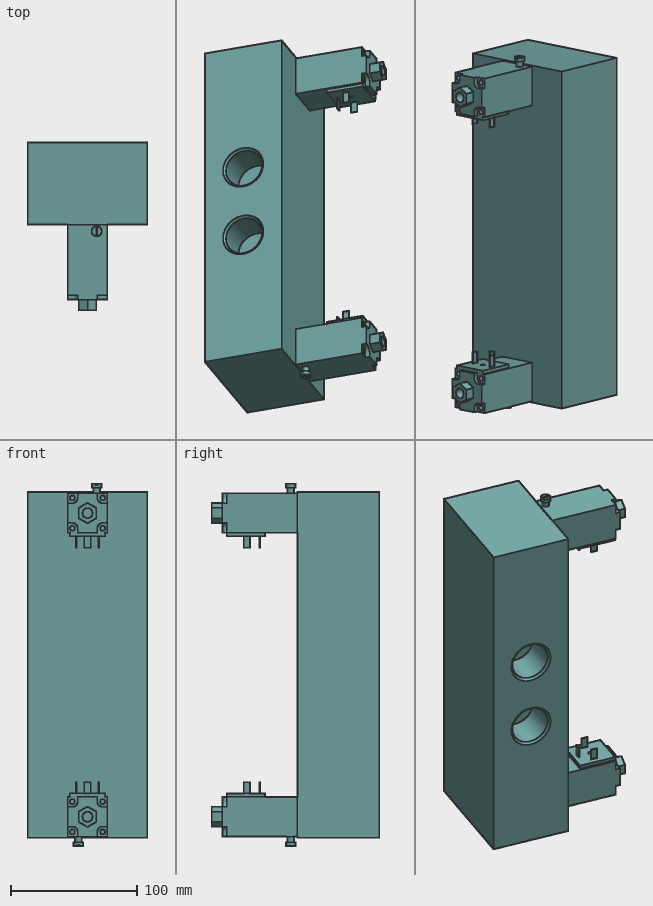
import cadquery as cq

BLOCK_WIDTH = 95.0
BLOCK_DEPTH = 65.0
BODY_HEIGHT = 184.0
END_CAP_HEIGHT = 45.0
BLOCK_HEIGHT = BODY_HEIGHT + 2 * END_CAP_HEIGHT

PORT_DIAMETER = 30.5
PORT_CHAMFER = 1.8
PORT_DEPTH = 30.0
PORT_SPACING = 60.0

PILOT_WIDTH = 31.5
BASE_LENGTH = 11.5
COIL_LENGTH = 48.0
PILOT_LENGTH = BASE_LENGTH + COIL_LENGTH
PILOT_INSET = 1.0
PILOT_CENTRE_Z = BLOCK_HEIGHT / 2 - PILOT_INSET - PILOT_WIDTH / 2

SCREW_SPACING = 24.0
SCREW_HOLE_DIAMETER = 4.0
SCREW_HOLE_DEPTH = 4.0
POCKET_RADIUS = 4.2
POCKET_DEPTH = 3.5

NUT_ACROSS_FLATS = 14.0
NUT_LENGTH = 8.5
NUT_BORE_DIAMETER = 8.0
HEX_CORNER_RATIO = 2 / 3 ** 0.5

BUTTON_X = 7.25
BUTTON_Y = -5.3
BUTTON_STEM_DIAMETER = 5.5
BUTTON_HEAD_DIAMETER = 8.0
BUTTON_TOTAL_HEIGHT = 7.5
BUTTON_HEAD_HEIGHT = 3.0
BUTTON_SLOT_WIDTH = 1.0
BUTTON_SLOT_DEPTH = 1.0

PLATE_WIDTH = 28.0
PLATE_THICKNESS = 2.7
PLATE_START_Y = -25.5
PLATE_END_Y = POCKET_DEPTH - PILOT_LENGTH
PLATE_LENGTH = PLATE_START_Y - PLATE_END_Y
PLATE_CENTRE_Y = PLATE_START_Y - PLATE_LENGTH / 2
BLADE_THICKNESS = 0.8
BLADE_HEIGHT = 9.0
CENTRE_BLADE_WIDTH = 5.0
CENTRE_BLADE_Y = -30.0
SIDE_BLADE_WIDTH = 5.3
SIDE_BLADE_Y = -40.0
SIDE_BLADE_SPACING = 18.2
PLATE_HOLE_DIAMETER = 3.0


def make_valve_block():
    """Plain block made of a body between two end caps, with two blind chamfered ports."""
    block = cq.Workplane("XY").box(BLOCK_WIDTH, BLOCK_DEPTH, BODY_HEIGHT, centered=(True, False, True))
    for side in (-1, 1):
        end_cap = (
            cq.Workplane("XY")
            .box(BLOCK_WIDTH, BLOCK_DEPTH, END_CAP_HEIGHT, centered=(True, False, True))
            .translate((0, 0, side * (BODY_HEIGHT + END_CAP_HEIGHT) / 2))
        )
        block = block.union(end_cap, clean=False)
    port_plane = cq.Plane(
        origin=(-BLOCK_WIDTH / 2, BLOCK_DEPTH / 2, 0), xDir=(0, 1, 0), normal=(1, 0, 0)
    )
    port_centres = [(0, -PORT_SPACING / 2), (0, PORT_SPACING / 2)]
    bores = cq.Workplane(port_plane).pushPoints(port_centres).circle(PORT_DIAMETER / 2).extrude(PORT_DEPTH)
    cone = cq.Solid.makeCone(PORT_DIAMETER / 2 + PORT_CHAMFER, PORT_DIAMETER / 2, PORT_CHAMFER)
    mouths = cq.Workplane(port_plane).pushPoints(port_centres).eachpoint(cone, True)
    return block.cut(bores, clean=False).cut(mouths, clean=False)


def make_bar(width, start_y, length, bottom_z, height, centre_x=0):
    """Box centred on centre_x that runs from start_y towards -Y and from bottom_z upwards."""
    return (
        cq.Workplane("XY")
        .box(width, length, height, centered=(True, True, False))
        .translate((centre_x, start_y - length / 2, bottom_z))
    )


def make_rod(diameter, start_y, length, x=0, z=0):
    """Round bar along -Y."""
    return cq.Workplane("XZ", origin=(x, start_y, z)).circle(diameter / 2).extrude(length)


def make_corner_pocket(side_x, side_z):
    """Recess around one screw: open at both outer sides, rounded about the screw towards the middle."""
    edge = PILOT_WIDTH / 2
    screw = SCREW_SPACING / 2
    inner = screw - POCKET_RADIUS
    arc_middle = screw - POCKET_RADIUS / 2 ** 0.5
    return (
        cq.Workplane("XZ", origin=(0, -PILOT_LENGTH + POCKET_DEPTH, 0))
        .moveTo(side_x * edge, side_z * edge)
        .lineTo(side_x * inner, side_z * edge)
        .lineTo(side_x * inner, side_z * screw)
        .threePointArc((side_x * arc_middle, side_z * arc_middle), (side_x * screw, side_z * inner))
        .lineTo(side_x * edge, side_z * inner)
        .close()
        .extrude(POCKET_DEPTH)
    )


def make_nut():
    """Hexagonal nut with its corners at the top and bottom and a round bore."""
    return (
        cq.Workplane("XZ", origin=(0, -PILOT_LENGTH, 0))
        .transformed(rotate=(0, 0, 90))
        .polygon(6, NUT_ACROSS_FLATS * HEX_CORNER_RATIO)
        .circle(NUT_BORE_DIAMETER / 2)
        .extrude(NUT_LENGTH)
    )


def make_button():
    """Override button: a stem with a slotted head."""
    head_bottom = BUTTON_TOTAL_HEIGHT - BUTTON_HEAD_HEIGHT
    stem = cq.Workplane("XY").circle(BUTTON_STEM_DIAMETER / 2).extrude(head_bottom)
    head = (
        cq.Workplane("XY", origin=(0, 0, head_bottom))
        .circle(BUTTON_HEAD_DIAMETER / 2)
        .extrude(BUTTON_HEAD_HEIGHT)
    )
    slot = make_bar(
        BUTTON_SLOT_WIDTH,
        BUTTON_HEAD_DIAMETER / 2,
        BUTTON_HEAD_DIAMETER,
        BUTTON_TOTAL_HEIGHT - BUTTON_SLOT_DEPTH,
        BUTTON_SLOT_DEPTH,
    )
    return stem.union(head).cut(slot).translate((BUTTON_X, BUTTON_Y, PILOT_WIDTH / 2))


def make_terminals():
    """Terminal plate flush with the pocket floors, with a crosswise centre blade and two side blades."""
    plate_bottom = -PILOT_WIDTH / 2 - PLATE_THICKNESS
    blade_bottom = plate_bottom - BLADE_HEIGHT
    terminals = make_bar(PLATE_WIDTH, PLATE_START_Y, PLATE_LENGTH, plate_bottom, PLATE_THICKNESS)
    screw_hole = (
        cq.Workplane("XY", origin=(0, PLATE_CENTRE_Y, plate_bottom))
        .circle(PLATE_HOLE_DIAMETER / 2)
        .extrude(PLATE_THICKNESS)
    )
    terminals = terminals.cut(screw_hole)
    centre_start = CENTRE_BLADE_Y + BLADE_THICKNESS / 2
    terminals = terminals.union(
        make_bar(CENTRE_BLADE_WIDTH, centre_start, BLADE_THICKNESS, blade_bottom, BLADE_HEIGHT)
    )
    side_start = SIDE_BLADE_Y + SIDE_BLADE_WIDTH / 2
    for side in (-1, 1):
        blade_x = side * SIDE_BLADE_SPACING / 2
        terminals = terminals.union(
            make_bar(BLADE_THICKNESS, side_start, SIDE_BLADE_WIDTH, blade_bottom, BLADE_HEIGHT, blade_x)
        )
    return terminals


def make_pilot():
    """Pilot valve along -Y from the origin, with its button on top and its terminals below."""
    coil = make_bar(PILOT_WIDTH, -BASE_LENGTH, COIL_LENGTH, -PILOT_WIDTH / 2, PILOT_WIDTH)
    for side_x in (-1, 1):
        for side_z in (-1, 1):
            coil = coil.cut(make_corner_pocket(side_x, side_z))
            screw_hole = make_rod(
                SCREW_HOLE_DIAMETER,
                -PILOT_LENGTH + POCKET_DEPTH + SCREW_HOLE_DEPTH,
                SCREW_HOLE_DEPTH,
                side_x * SCREW_SPACING / 2,
                side_z * SCREW_SPACING / 2,
            )
            coil = coil.cut(screw_hole)
    coil = coil.union(make_nut()).union(make_terminals())
    base = make_bar(PILOT_WIDTH, 0, BASE_LENGTH, -PILOT_WIDTH / 2, PILOT_WIDTH).union(make_button())
    return base.union(coil, clean=False)


valve_block = make_valve_block()

upper_pilot = make_pilot().translate((0, 0, PILOT_CENTRE_Z))
pilots = [upper_pilot.rotate((0, 0, 0), (0, 1, 0), angle) for angle in (0, 180)]

result = cq.Compound.makeCompound([valve_block.val(), *[pilot.val() for pilot in pilots]])